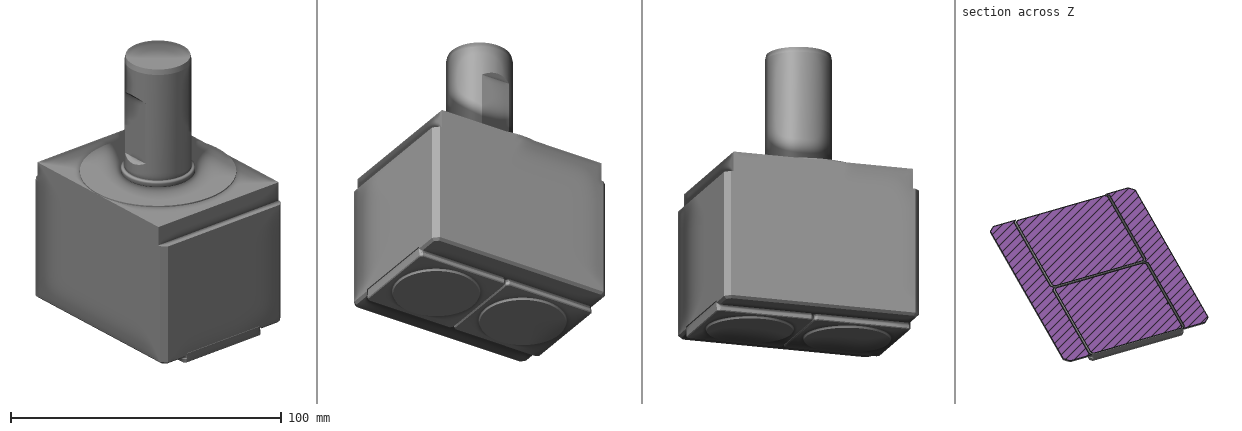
import cadquery as cq
import math

body_length = 76.0
body_width = 58.0
body_bottom = 3.0
shoulder_bottom = 52.0
shoulder_top = 59.5
shoulder_length = 70.0
body_corner_chamfer = 2.0
body_bottom_chamfer = 1.0

plate_top = 60.0

shaft_top = 108
shaft_radius = 25.0 / 2
shaft_chamfer_height = 2.0
shaft_chamfer_width = 0.4

collar_radius = 27.5 / 2
collar_top = 62.3
collar_top_fillet = 0.9
collar_bottom_chamfer = 0.2

flat_width = 11.9
flat_bottom = 68.8
flat_length = 25.0
flat_end_rise = 1.6

pad_pitch = body_length / 2
pad_clearance = 0.2
pad_size = pad_pitch - 2 * pad_clearance
pad_bottom = 0.8
pad_rim_top = 2.7
pad_corner_chamfer = 1.0
pad_edge_chamfer = 0.3
pocket_top = 4.9
pocket_corner_chamfer = 1.2

foot_bottom_radius = 16.0
foot_top_radius = 16.4


def block(length, width, bottom, top):
    """Box centred on the Z axis between two heights."""
    return cq.Workplane("XY").workplane(offset=bottom).rect(length, width).extrude(top - bottom)


def disc(radius, bottom, top):
    """Cylinder on the Z axis between two heights."""
    return cq.Workplane("XY").workplane(offset=bottom).circle(radius).extrude(top - bottom)


def make_housing():
    body = block(body_length, body_width, body_bottom, shoulder_bottom)
    body = body.edges("|Z").chamfer(body_corner_chamfer)
    body = body.faces("<Z").chamfer(body_bottom_chamfer)
    shoulder = block(shoulder_length, body_width, shoulder_bottom, shoulder_top)
    plate = disc(body_width / 2, shoulder_top, plate_top)
    return body.union(shoulder).union(plate)


def make_shaft():
    shaft = disc(shaft_radius, plate_top, shaft_top)
    shaft = shaft.faces(">Z").chamfer(shaft_chamfer_height, shaft_chamfer_width)

    flat_distance = math.sqrt(shaft_radius**2 - (flat_width / 2) ** 2)
    flat_top = flat_bottom + flat_length
    flat_cut = (
        cq.Workplane("YZ")
        .moveTo(-flat_distance, flat_bottom)
        .lineTo(-flat_distance, flat_top)
        .lineTo(-shaft_radius, flat_top + flat_end_rise)
        .lineTo(-shaft_radius, flat_bottom - flat_end_rise)
        .close()
        .extrude(shaft_radius, both=True)
    )
    return shaft.cut(flat_cut)


def make_collar():
    collar = disc(collar_radius, plate_top, collar_top)
    collar = collar.faces(">Z").edges().fillet(collar_top_fillet)
    return collar.faces("<Z").chamfer(collar_bottom_chamfer)


def make_pocket():
    pocket = block(pad_pitch, pad_pitch, pad_bottom, pocket_top)
    return pocket.edges("|Z").chamfer(pocket_corner_chamfer)


def make_pad():
    """Pad whose lower rim stands out in Y beyond the neck above it."""
    neck_bottom = pad_bottom + pad_edge_chamfer
    neck = block(pad_size, pad_size - 2 * pad_edge_chamfer, neck_bottom, pocket_top)
    neck = neck.edges("|Z").chamfer(pad_corner_chamfer)
    neck = neck.faces(">Z").chamfer(pad_edge_chamfer)
    rim = block(pad_size, pad_size, pad_bottom, pad_rim_top)
    rim = rim.edges("|Z").chamfer(pad_corner_chamfer)
    rim = rim.faces("<Z or >Z").chamfer(pad_edge_chamfer)
    foot = cq.Workplane(cq.Solid.makeCone(foot_bottom_radius, foot_top_radius, pad_bottom))
    return neck.union(rim).union(foot)


result = make_housing().union(make_shaft()).union(make_collar())
for side in (-1, 1):
    pad_centre = (side * pad_pitch / 2, 0, 0)
    result = result.cut(make_pocket().translate(pad_centre))
    result = result.union(make_pad().translate(pad_centre))